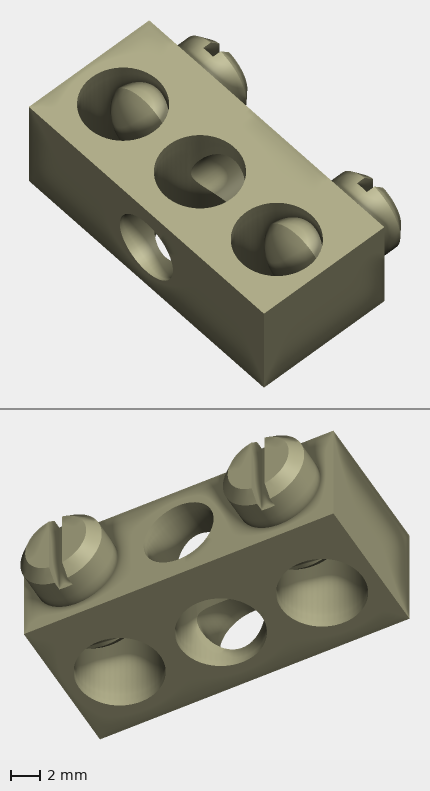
import cadquery as cq

block_length = 24.13
block_depth = 11.17
block_height = 8.4

hole_diameter = 6.35
hole_pitch = 7.9
hole_row_y = 4.97
wire_hole_diameter = 5.45

screw_radius = hole_diameter / 2
overall_depth = 14.35
screw_tip_y = 5.16
dome_height = 1.62
head_chamfer = 0.8
slot_width = 1.01
slot_depth = 1.5

screw_xs = [-hole_pitch, hole_pitch]
dome_base_y = screw_tip_y + dome_height
dome_radius = (screw_radius**2 + dome_height**2) / (2 * dome_height)


def cylinder_along_y(x, radius, start_y, end_y):
    """Cylinder at mid height, running in +Y from start_y to end_y."""
    return cq.Workplane(
        cq.Solid.makeCylinder(radius, end_y - start_y, cq.Vector(x, start_y, 0), cq.Vector(0, 1, 0))
    )


def make_block(screws):
    """Block with the vertical holes, the wire hole and a seat fitting each screw."""
    block = cq.Workplane().box(block_length, block_depth, block_height, centered=(True, False, True))
    hole_centres = [(x, hole_row_y) for x in (-hole_pitch, 0, hole_pitch)]
    vertical_holes = (
        cq.Workplane()
        .pushPoints(hole_centres)
        .circle(hole_diameter / 2)
        .extrude(block_height / 2, both=True)
    )
    block = block.cut(vertical_holes)
    block = block.cut(cylinder_along_y(0, wire_hole_diameter / 2, 0, block_depth))
    for screw in screws:
        block = block.cut(screw)
    return block.solids()


def make_screw(x):
    """Headless screw with a domed tip, a chamfered rear end and a driver slot."""
    shank = cylinder_along_y(x, screw_radius, dome_base_y, overall_depth)
    shank = shank.faces(">Y").chamfer(head_chamfer)

    tip_centre_y = screw_tip_y + dome_radius
    dome = cq.Workplane().sphere(dome_radius).translate((x, tip_centre_y, 0))
    dome = dome.intersect(cylinder_along_y(x, screw_radius, screw_tip_y, dome_base_y))

    slot = (
        cq.Workplane()
        .box(slot_width, slot_depth, 2 * screw_radius, centered=(True, False, True))
        .translate((x, overall_depth - slot_depth, 0))
    )
    return shank.union(dome).cut(slot).solids()


screws = [make_screw(x) for x in screw_xs]
block = make_block(screws)

result = cq.Compound.makeCompound([block.val(), *[screw.val() for screw in screws]])